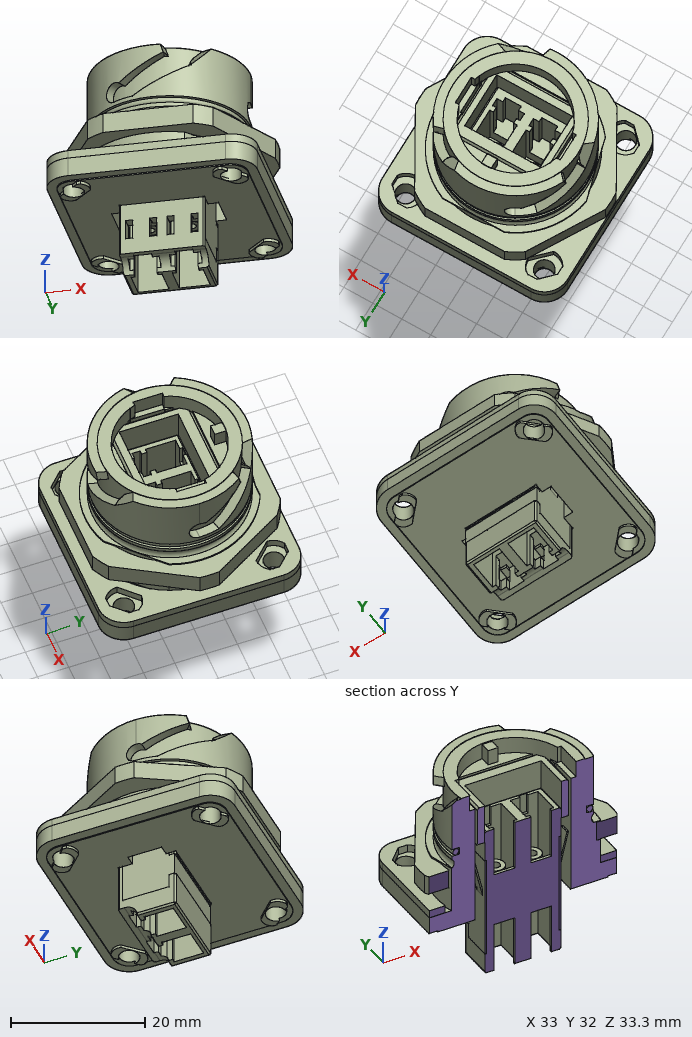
import cadquery as cq
import math

FLANGE_TOP = 2.95
GASKET_TOP = 4.23
NUT_BOTTOM = 7.22
NUT_TOP = 10.4
TUBE_TOP = 10.65
COLLAR_BOTTOM = 12.15
COLLAR_TOP = 12.8
BARREL_BOTTOM = 13.9
SHELF_Z = 20.03
RIM_TOP = 22.8
LIP_DROP = 0.1
BACK_PLATE_DEPTH = 0.2
PAD_DEPTH = 0.7

FLANGE_WIDTH = 32.0
CORNER_RADIUS = 4.0
BACK_PLATE_WIDTH = 29.05
BACK_PLATE_RADIUS = 2.65
HOLE_OFFSET = 11.98
HOLE_RADIUS = 1.6
HOLE_ANGLES = (45, 135, 225, 315)
PAD_HALF_LENGTH = 2.7
PAD_BEVEL_SUM = 3.25
PAD_END_BULGE = (-0.83, 2.65)
PAD_INNER_HALF_LENGTH = 1.95
PAD_OUTER = 1.0
PAD_INNER = 1.65
CUTOUT_OUTER = 1.65
CUTOUT_INNER = 2.0
HOLE_CIRCLE_RADIUS = HOLE_OFFSET * math.sqrt(2)

TUBE_RADIUS = 13.47
THREAD_RADIUS = 12.8
FLAT_DISTANCE = 12.38
FLAT_ANGLES = (90, 195, 315)
NUT_ACROSS_FLATS = 30.0
NUT_CORNER_RADIUS = 16.5

BARREL_RADIUS = 12.3
GROOVE_FLOOR_RADIUS = 10.8
BORE_RADIUS = 8.72
NECK_WAIST_RADIUS = 11.98
O_RING_RADIUS = (BARREL_BOTTOM - COLLAR_TOP) / 2
O_RING_SINK = 0.1
O_RING_CENTRE_RADIUS = BARREL_RADIUS - O_RING_SINK - O_RING_RADIUS
KEY_EMBED = 0.33
KEY_WIDTH = 1.7
KEY_REACH = 6.85
KEY_TOP = 22.6

STOP_ANGLES = (0, 120, 240)
STOP_Z = 16.17
STOP_RADIUS = 1.6
HELIX_RATE = 8.717
HELIX_WIDTH = 36.5
RUN_TOP = 21.35
HELIX_START_ANGLE = -21.0
RUN_END_ANGLE = 57.8
LIP_FACING_ANGLE = 14.0
LIP_OUTLINE = ((35.6, RIM_TOP), (37.8, RUN_TOP), (54.0, 19.95), (54.0, RIM_TOP))
FLARE_FACING_ANGLE = 99.0
FLARE_OUTLINE = ((52.0, RIM_TOP), (52.0, 20.05), (RUN_END_ANGLE, 19.53), (73.0, RIM_TOP))

ADAPTER_WIDTH = 13.05
ADAPTER_BACK = 3.9
ADAPTER_FRONT = -5.52
ADAPTER_BOTTOM = -10.48
ADAPTER_TOP = 15.3
ADAPTER_MID_Z = (ADAPTER_BOTTOM + ADAPTER_TOP) / 2
ADAPTER_CHAMFER = 0.25
SCOOP_RADIUS = 2.03
SCOOP_CENTRE_Y = -4.5
PORT_PITCH = 6.3
PORT_X = (-PORT_PITCH / 2, PORT_PITCH / 2)
PORT_WIDTH = 4.72
PLUG_BACK = 3.05
PLUG_FRONT = -1.73
LATCH_NECK_WIDTH = 3.5
LATCH_NECK_FRONT = -2.6
LATCH_BAR_FRONT = -3.85
LATCH_TONGUE_WIDTH = 2.73
LATCH_TONGUE_FRONT = -4.62
LATCH_DEPTH = 8.32
NOTCH_WIDTH = 1.33
NOTCH_BACK = 3.5
NOTCH_DEPTH = 3.33
WEB_THICKNESS = 4.0
WINDOW_WIDTH = 1.1
WINDOW_OFFSET = 1.83
WINDOW_BOTTOM = -5.92
WINDOW_TOP = -2.85
WINDOW_BACK = -3.33

SLEEVE_Y = 0.63
SLEEVE_OUTER_RADIUS = 1.53
SLEEVE_INNER_RADIUS = 0.75
SLEEVE_LENGTH = 8.0

CLIP_THICKNESS = 0.25
CLIP_FRONT = -4.75
CLIP_SIDE_BACK = 2.83
CLIP_BOTTOM = -6.9
CLIP_TOP = 9.98
CLIP_BAND_BOTTOM = -4.5
CLIP_BAND_TOP = -0.6
CLIP_BAND_SINK = 0.2
CLIP_BAND_BACK = ADAPTER_BACK - CLIP_BAND_SINK
SPRING_FRONT = -1.53
SPRING_BACK = 0.23
SPRING_ROOT_Z = 3.33

FRAME_BACK = 5.62
FRAME_FRONT = -6.75
FRAME_WIDTH = 14.97
MOAT_WIDTH = 0.45
MOAT_DEPTH = 0.45
RELIEF_REACH = 9.05
RELIEF_HALF_WIDTH = 2.33
SLOT_INNER = 7.82
SLOT_OUTER = 8.15
SLOT_FRONT = -3.2
SLOT_POCKET_TOP = 13.3


def block(x0, x1, y0, y1, z0, z1):
    """A box given by its limits on each axis."""
    return cq.Workplane("XY").box(x1 - x0, y1 - y0, z1 - z0, centered=False).translate((x0, y0, z0))


def disc(radius, z0, z1):
    return cq.Workplane("XY", origin=(0, 0, z0)).circle(radius).extrude(z1 - z0)


def square_plate(width, corner_radius, z0, z1):
    plate = cq.Workplane("XY", origin=(0, 0, z0)).rect(width, width).extrude(z1 - z0)
    return plate.edges("|Z").fillet(corner_radius)


def hole_pad(angle, outer, inner, z0, z1):
    """Rounded D around one mounting hole, reaching outer and inner from it along the radius."""
    bevel_end = PAD_BEVEL_SUM - PAD_HALF_LENGTH
    bulge_x, bulge_y = PAD_END_BULGE
    pad = (
        cq.Workplane("XY", origin=(0, 0, z0))
        .moveTo(outer, outer - PAD_BEVEL_SUM)
        .lineTo(outer, PAD_BEVEL_SUM - outer)
        .lineTo(bevel_end, PAD_HALF_LENGTH)
        .threePointArc((bulge_x, bulge_y), (-inner, PAD_INNER_HALF_LENGTH))
        .lineTo(-inner, -PAD_INNER_HALF_LENGTH)
        .threePointArc((bulge_x, -bulge_y), (bevel_end, -PAD_HALF_LENGTH))
        .close()
        .extrude(z1 - z0)
    )
    return pad.translate((HOLE_CIRCLE_RADIUS, 0, 0)).rotate((0, 0, 0), (0, 0, 1), angle)


def mounting_hole(angle):
    hole = disc(HOLE_RADIUS, -PAD_DEPTH, FLANGE_TOP)
    return hole.translate((HOLE_CIRCLE_RADIUS, 0, 0)).rotate((0, 0, 0), (0, 0, 1), angle)


def keyed_tube():
    """Round tube, necked down inside the nut, with three flats that key it in its panel."""
    tube = disc(TUBE_RADIUS, FLANGE_TOP, NUT_BOTTOM)
    tube = tube.union(disc(THREAD_RADIUS, NUT_BOTTOM, NUT_TOP))
    tube = tube.union(disc(TUBE_RADIUS, NUT_TOP, TUBE_TOP))
    flat = block(FLAT_DISTANCE, TUBE_RADIUS, -TUBE_RADIUS, TUBE_RADIUS, FLANGE_TOP, TUBE_TOP)
    for angle in FLAT_ANGLES:
        tube = tube.cut(flat.rotate((0, 0, 0), (0, 0, 1), angle))
    return tube


def barrel_blank():
    """Turned barrel with its waisted neck, collar, O-ring groove and raised inner rim."""
    groove_radius = O_RING_CENTRE_RADIUS - O_RING_RADIUS
    neck_mid_z = (TUBE_TOP + COLLAR_BOTTOM) / 2
    return (
        cq.Workplane("XZ")
        .moveTo(0, TUBE_TOP)
        .lineTo(BARREL_RADIUS, TUBE_TOP)
        .threePointArc((NECK_WAIST_RADIUS, neck_mid_z), (BARREL_RADIUS, COLLAR_BOTTOM))
        .lineTo(BARREL_RADIUS, COLLAR_TOP)
        .lineTo(groove_radius, COLLAR_TOP)
        .lineTo(groove_radius, BARREL_BOTTOM)
        .lineTo(BARREL_RADIUS, BARREL_BOTTOM)
        .lineTo(BARREL_RADIUS, RIM_TOP - LIP_DROP)
        .lineTo(GROOVE_FLOOR_RADIUS, RIM_TOP - LIP_DROP)
        .lineTo(GROOVE_FLOOR_RADIUS, RIM_TOP)
        .lineTo(0, RIM_TOP)
        .close()
        .revolve(360, (0, 0, 0), (0, 1, 0))
    )


def sector(start_angle, end_angle):
    """Corner points of a block between two angles, from inside the groove floor to outside the barrel."""
    inner = GROOVE_FLOOR_RADIUS / 2
    outer = 2 * BARREL_RADIUS
    start = math.radians(start_angle)
    end = math.radians(end_angle)
    return [
        (inner * math.cos(start), inner * math.sin(start)),
        (outer * math.cos(start), outer * math.sin(start)),
        (outer * math.cos(end), outer * math.sin(end)),
        (inner * math.cos(end), inner * math.sin(end)),
    ]


def mouth_cut(facing_angle, outline):
    """Straight cut towards the axis, whose outline lies on the barrel's outer surface."""
    points = []
    for angle, z in outline:
        sideways = BARREL_RADIUS * math.sin(math.radians(angle - facing_angle))
        points.append((sideways, z))
    cut = cq.Workplane("YZ").polyline(points).close().extrude(2 * BARREL_RADIUS)
    return cut.rotate((0, 0, 0), (0, 0, 1), facing_angle)


def bayonet_groove():
    """Cutter for one groove: round stop, helical run and flared mouth at the rim."""
    bottom = STOP_Z - STOP_RADIUS
    height = RUN_TOP - bottom
    base = cq.Workplane("XY", origin=(0, 0, bottom))
    run_start = sector(HELIX_START_ANGLE, HELIX_START_ANGLE + HELIX_WIDTH)
    run = base.polyline(run_start).close().twistExtrude(height, HELIX_RATE * height)
    run_limit = base.polyline(sector(0, RUN_END_ANGLE)).close().extrude(height)

    stop = cq.Workplane("YZ").center(0, STOP_Z).circle(STOP_RADIUS).extrude(2 * BARREL_RADIUS)
    lip = mouth_cut(LIP_FACING_ANGLE, LIP_OUTLINE)
    flare = mouth_cut(FLARE_FACING_ANGLE, FLARE_OUTLINE)
    core = disc(GROOVE_FLOOR_RADIUS, 0, RIM_TOP)
    return run.intersect(run_limit).union(stop).union(lip).union(flare).cut(core)


def moat():
    """V-sided moat in the shelf, with a bevelled frame standing inside it."""
    depth = FRAME_BACK - FRAME_FRONT
    bevel_angle = math.degrees(math.atan(MOAT_WIDTH / MOAT_DEPTH))
    outer_width = FRAME_WIDTH + 2 * MOAT_WIDTH
    outer_depth = depth + 2 * MOAT_WIDTH
    base = cq.Workplane("XY", origin=(0, (FRAME_BACK + FRAME_FRONT) / 2, SHELF_Z - MOAT_DEPTH))
    frame = base.rect(outer_width, outer_depth).extrude(MOAT_DEPTH, taper=bevel_angle)
    recess = base.rect(outer_width, outer_depth).extrude(MOAT_DEPTH)
    return recess.cut(frame).intersect(disc(BORE_RADIUS, SHELF_Z - MOAT_DEPTH, SHELF_Z))


def adapter_envelope(bottom, top):
    half = ADAPTER_WIDTH / 2
    return block(-half, half, ADAPTER_FRONT, ADAPTER_BACK, bottom, top)


def relief_slots():
    """Openings beside the adapter that give the clip's springs room."""
    half = ADAPTER_WIDTH / 2
    slot = block(SLOT_INNER, SLOT_OUTER, SLOT_FRONT, RELIEF_HALF_WIDTH, -BACK_PLATE_DEPTH, RIM_TOP)
    pocket = block(half, SLOT_OUTER, SLOT_FRONT, RELIEF_HALF_WIDTH, -BACK_PLATE_DEPTH, SLOT_POCKET_TOP)
    notch = block(0, RELIEF_REACH, -RELIEF_HALF_WIDTH, RELIEF_HALF_WIDTH, SHELF_Z, RIM_TOP)
    one_side = slot.union(pocket).union(notch)
    return one_side.union(one_side.mirror("YZ"))


def make_housing():
    """Flange, keyed tube and bayonet barrel in one piece, with the adapter's seat inside."""
    housing = square_plate(FLANGE_WIDTH, CORNER_RADIUS, 0, FLANGE_TOP)
    housing = housing.union(square_plate(BACK_PLATE_WIDTH, BACK_PLATE_RADIUS, -BACK_PLATE_DEPTH, 0))
    for angle in HOLE_ANGLES:
        housing = housing.union(hole_pad(angle, PAD_OUTER, PAD_INNER, -PAD_DEPTH, 0))
    for angle in HOLE_ANGLES:
        housing = housing.cut(mounting_hole(angle))
    housing = housing.union(barrel_blank().union(keyed_tube()))

    housing = housing.cut(disc(BORE_RADIUS, SHELF_Z, RIM_TOP))
    housing = housing.cut(moat())
    housing = housing.cut(adapter_envelope(-BACK_PLATE_DEPTH, SHELF_Z)).cut(relief_slots())
    key = block(-KEY_WIDTH / 2, KEY_WIDTH / 2, KEY_REACH, BORE_RADIUS + KEY_EMBED, SHELF_Z, KEY_TOP)
    housing = housing.union(key)

    groove = bayonet_groove()
    for angle in STOP_ANGLES:
        housing = housing.cut(groove.rotate((0, 0, 0), (0, 0, 1), angle), clean=False)
    return housing


def make_gasket():
    gasket = square_plate(FLANGE_WIDTH, CORNER_RADIUS, FLANGE_TOP, GASKET_TOP)
    gasket = gasket.cut(disc(TUBE_RADIUS, FLANGE_TOP, GASKET_TOP))
    for angle in HOLE_ANGLES:
        gasket = gasket.cut(hole_pad(angle, CUTOUT_OUTER, CUTOUT_INNER, FLANGE_TOP, GASKET_TOP))
    return gasket


def make_nut():
    """Hexagon nut with its corners turned round."""
    corner_diameter = NUT_ACROSS_FLATS / math.cos(math.radians(30))
    nut = (
        cq.Workplane("XY", origin=(0, 0, NUT_BOTTOM))
        .polygon(6, corner_diameter)
        .extrude(NUT_TOP - NUT_BOTTOM)
    )
    nut = nut.intersect(disc(NUT_CORNER_RADIUS, NUT_BOTTOM, NUT_TOP))
    return nut.cut(disc(THREAD_RADIUS, NUT_BOTTOM, NUT_TOP))


def make_o_ring():
    return (
        cq.Workplane("XZ", origin=(0, 0, (COLLAR_TOP + BARREL_BOTTOM) / 2))
        .center(O_RING_CENTRE_RADIUS, 0)
        .circle(O_RING_RADIUS)
        .revolve(360, (-O_RING_CENTRE_RADIUS, 0, 0), (-O_RING_CENTRE_RADIUS, 1, 0))
    )


def port(x):
    """Opening for one plug, with its shallower stepped latch channel, at the top end of the adapter."""
    plug_floor = ADAPTER_MID_Z + WEB_THICKNESS / 2
    latch_floor = ADAPTER_TOP - LATCH_DEPTH
    half = PORT_WIDTH / 2
    half_neck = LATCH_NECK_WIDTH / 2
    half_tongue = LATCH_TONGUE_WIDTH / 2
    plug = block(-half, half, PLUG_FRONT, PLUG_BACK, plug_floor, ADAPTER_TOP)
    neck = block(-half_neck, half_neck, LATCH_NECK_FRONT, PLUG_FRONT, latch_floor, ADAPTER_TOP)
    bar = block(-half, half, LATCH_BAR_FRONT, LATCH_NECK_FRONT, latch_floor, ADAPTER_TOP)
    tongue = block(-half_tongue, half_tongue, LATCH_TONGUE_FRONT, LATCH_BAR_FRONT, latch_floor, ADAPTER_TOP)
    opening = plug.union(neck).union(bar).union(tongue)
    return opening.translate((x, 0, 0))


def scoop():
    """Quarter-round step along the front edge of the adapter's bottom end."""
    half = ADAPTER_WIDTH / 2
    step_top = ADAPTER_BOTTOM + SCOOP_RADIUS
    step = block(-half, half, ADAPTER_FRONT, SCOOP_CENTRE_Y, ADAPTER_BOTTOM, step_top)
    round_part = (
        cq.Workplane("YZ", origin=(-half, SCOOP_CENTRE_Y, ADAPTER_BOTTOM))
        .circle(SCOOP_RADIUS)
        .extrude(ADAPTER_WIDTH)
    )
    return step.union(round_part)


def mirror_end_to_end(shape):
    return shape.mirror("XY", (0, 0, ADAPTER_MID_Z))


def clip_envelope():
    """Space taken by the clip's two sides and by the band around the adapter's back."""
    outer = ADAPTER_WIDTH / 2
    inner = outer - CLIP_THICKNESS
    sides = block(-outer, outer, CLIP_FRONT, CLIP_SIDE_BACK, CLIP_BOTTOM, CLIP_TOP)
    band = block(-outer, outer, CLIP_SIDE_BACK, ADAPTER_BACK, CLIP_BAND_BOTTOM, CLIP_BAND_TOP)
    inside = block(
        -inner, inner, CLIP_FRONT, CLIP_BAND_BACK - CLIP_THICKNESS, CLIP_BOTTOM, CLIP_TOP
    )
    return sides.union(band).cut(inside)


def make_adapter():
    adapter = adapter_envelope(ADAPTER_BOTTOM, ADAPTER_TOP).edges("not(>Z and <Y)").chamfer(ADAPTER_CHAMFER)
    adapter = adapter.cut(scoop())
    for x in PORT_X:
        adapter = adapter.cut(port(x)).cut(mirror_end_to_end(port(x)))
        notch_left = x - NOTCH_WIDTH / 2
        notch_right = x + NOTCH_WIDTH / 2
        notch_floor = ADAPTER_TOP - NOTCH_DEPTH
        notch = block(notch_left, notch_right, PLUG_FRONT, NOTCH_BACK, notch_floor, ADAPTER_TOP)
        adapter = adapter.cut(notch)
        bore = disc(SLEEVE_OUTER_RADIUS, ADAPTER_BOTTOM, ADAPTER_TOP).translate((x, SLEEVE_Y, 0))
        adapter = adapter.cut(bore)
        for side in (-1, 1):
            window_x = x + side * WINDOW_OFFSET
            window = block(
                window_x - WINDOW_WIDTH / 2,
                window_x + WINDOW_WIDTH / 2,
                ADAPTER_FRONT,
                WINDOW_BACK,
                WINDOW_BOTTOM,
                WINDOW_TOP,
            )
            adapter = adapter.cut(window)
    return adapter.cut(clip_envelope())


def spring_leaf():
    """Leaf that leans out from the clip's +X side to the wall of the relief slot."""
    root = ADAPTER_WIDTH / 2
    return (
        cq.Workplane("XZ", origin=(0, SPRING_BACK, 0))
        .polyline(
            [
                (root - CLIP_THICKNESS, SPRING_ROOT_Z),
                (root, SPRING_ROOT_Z),
                (SLOT_OUTER, CLIP_TOP),
                (SLOT_OUTER - CLIP_THICKNESS, CLIP_TOP),
            ]
        )
        .close()
        .extrude(SPRING_BACK - SPRING_FRONT)
    )


def make_clip():
    outer = ADAPTER_WIDTH / 2
    stock = block(-outer, outer, CLIP_FRONT, CLIP_BAND_BACK, CLIP_BOTTOM, CLIP_TOP)
    clip = clip_envelope().intersect(stock)
    leaf = spring_leaf()
    return clip.union(leaf).union(leaf.mirror("YZ"))


def make_sleeve(x):
    half = SLEEVE_LENGTH / 2
    return (
        cq.Workplane("XY", origin=(x, SLEEVE_Y, ADAPTER_MID_Z - half))
        .circle(SLEEVE_OUTER_RADIUS)
        .circle(SLEEVE_INNER_RADIUS)
        .extrude(SLEEVE_LENGTH)
    )


housing = make_housing()
gasket = make_gasket()
nut = make_nut()
o_ring = make_o_ring()
adapter = make_adapter()
clip = make_clip()
sleeves = [make_sleeve(x) for x in PORT_X]

result = cq.Compound.makeCompound(
    [
        housing.val(),
        gasket.val(),
        nut.val(),
        o_ring.val(),
        adapter.val(),
        clip.val(),
        *[sleeve.val() for sleeve in sleeves],
    ]
)